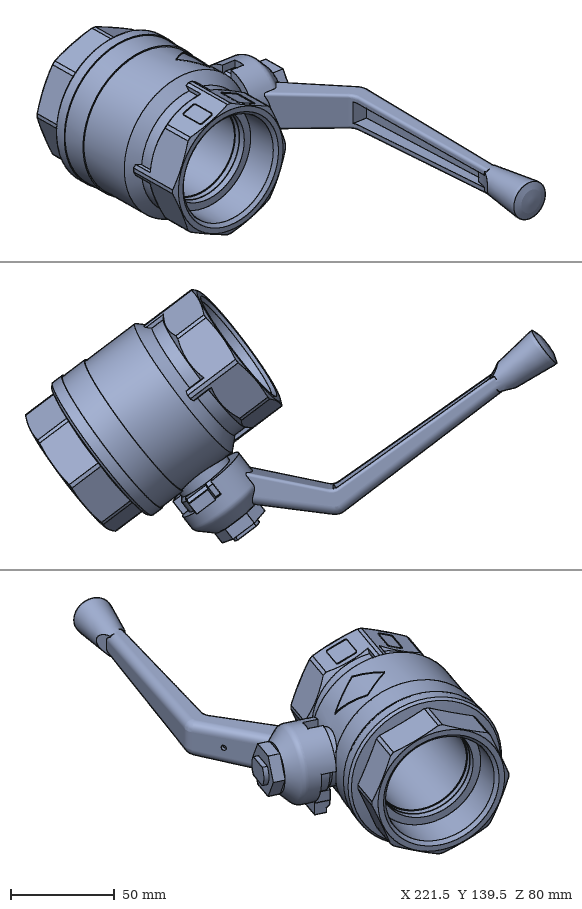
import cadquery as cq
import math


clearance = 2.2
eighth_turn = 45.0

length = 103.0
collar_radius = 80.0 / 2
sleeve_radius = 39.5
shell_radius = 38.8
neck_radius = 33.0
collar_start = 18.2
collar_face_rise = 1.0
collar_rim = 20.5
sleeve_start = 26.4
shell_start = 39.6
shell_end = 69.5
groove_start = 75.5
groove_end = 82.2

octagon_radius = 36.0
truncated_radius = 35.7
end_bevel_length = 1.3
end_bevel_radius = 33.0
rib_width = 6.0
rib_start = 72.9

mouth_radius = 30.1
socket_radius = 28.4
socket_depth = 18.5
outer_seat_radius = 24.4
outer_seat_depth = 22.2
inner_seat_radius = 24.1
inner_seat_depth = 25.0
ball_bore_radius = 47.2 / 2

panel_depth = 0.5
diamond_x = 54.7
diamond_y = 19.5
diamond_width = 19.3
diamond_height = 26.0
panel_length = 13.7
panel_x = 93.0
panel_shift = 0.33
panel_corner_radius = 1.0
upper_panel_width = 11.5
lower_panel_width = 8.2

stem_x = 51.2
stem_radius = 29.0 / 2
cap_radius = 40.0 / 2
cap_bottom = 41.5
cap_top = 65.3
cap_top_radius = 12.6
cap_edge_fillet = 4.5
slot_width = 6.5
slot_top = 49.5
relief_radius = 16.2
relief_cone = 2.0
notch_edge_z = 3.0
nut_corner_radius = 26.0 / 2
nut_top = 71.5
spindle_radius = 7.5
spindle_flat = 5.0
spindle_top = 74.2
stop_inner_z = -11.0
stop_step_z = -16.8
stop_slope_z = -19.5
stop_step = 0.7
stop_end_z = -23.7
stop_bottom = 43.2
stop_reach = 12.2

lever_top = 94.1
lever_bend_x = 91.7
lever_end_x = 192.3
lever_top_fillet = 4.5
lever_bottom_fillet = 1.5
half_width_at_stem = 10.5
half_width_at_end = 6.6
elbow_x = 97.5
elbow_y = 82.6
underside_end_y = 85.5
elbow_fillet = 6.6
arm_start_height = 13.3
arm_foot_x = 67.5
arm_foot_y = 48.0
channel_end_x = 184.3
channel_floor = 90.4
channel_step = 87.3
ramp_middle_x = lever_end_x
ramp_middle_y = 84.8
ramp_end_x = 197.5
ramp_end_y = 81.7
rim_thickness = 3.3
pin_hole_y = 80.6
pin_hole_radius = 1.3
pin_hole_depth = 2.2

knob_start_x = 189.4
knob_start_radius = 6.6
knob_rim_x = 217.7
knob_rim_end_x = 219.5
knob_radius = 10.0
overall_y = 139.5
knob_y = overall_y - collar_radius - knob_radius
knob_end_x = 220.8
knob_end_radius = 6.2
tip_x = 221.5


def turned_about_x(points):
    """Solid of revolution about X from (x, radius) points that start and end on the axis."""
    return cq.Workplane("XY").polyline(points).close().revolve(360, (0, 0, 0), (1, 0, 0))


def block(x0, x1, y0, y1, z0, z1):
    return cq.Workplane("XY").box(x1 - x0, y1 - y0, z1 - z0, centered=False).translate((x0, y0, z0))


def stem_cylinder(radius, y0, y1):
    """Cylinder about the stem axis between two heights."""
    disc = cq.Workplane("XZ", origin=(stem_x, y0, 0)).circle(radius)
    return disc.extrude(y0 - y1)


def octagon_bar(x0, x1):
    """Octagonal bar with corners on the Y and Z axes, each corner cut flat."""

    def eight_sided(corner_radius, turn):
        angles = [math.radians(eighth_turn * i + turn) for i in range(8)]
        corners = [(corner_radius * math.cos(a), corner_radius * math.sin(a)) for a in angles]
        return cq.Workplane("YZ", origin=(x0, 0, 0)).polyline(corners).close().extrude(x1 - x0)

    corner_cutter = eight_sided(truncated_radius / math.cos(math.pi / 8), eighth_turn / 2)
    return eight_sided(octagon_radius, 0).intersect(corner_cutter)


def body():
    shell = turned_about_x([
        (collar_start, 0),
        (collar_start, neck_radius),
        (collar_start + collar_face_rise, shell_radius),
        (collar_rim, collar_radius),
        (sleeve_start, collar_radius),
        (sleeve_start, sleeve_radius),
        (shell_start, sleeve_radius),
        (shell_start, shell_radius),
        (shell_end, shell_radius),
        (groove_start, neck_radius),
        (groove_end, neck_radius),
        (groove_end, 0),
    ])
    bevels = turned_about_x([
        (0, 0),
        (0, end_bevel_radius),
        (end_bevel_length, octagon_radius),
        (groove_end, octagon_radius),
        (groove_end, neck_radius),
        (groove_end + octagon_radius - neck_radius, octagon_radius),
        (length - end_bevel_length, octagon_radius),
        (length, end_bevel_radius),
        (length, 0),
    ])
    left_end = octagon_bar(0, collar_start + collar_face_rise).intersect(bevels)
    right_end = octagon_bar(groove_end, length).intersect(bevels)
    solid = shell.union(left_end).union(right_end)

    half = rib_width / 2
    reach = octagon_radius
    rib_end = groove_end + octagon_radius - neck_radius
    cross = block(rib_start, rib_end, -reach, reach, -half, half)
    cross = cross.union(block(rib_start, rib_end, -half, half, -reach, reach))
    return solid.union(octagon_bar(rib_start, rib_end).intersect(cross))


def bore():
    one_side = [
        (0, mouth_radius),
        (mouth_radius - socket_radius, socket_radius),
        (socket_depth, socket_radius),
        (socket_depth, outer_seat_radius),
        (outer_seat_depth, outer_seat_radius),
        (outer_seat_depth, inner_seat_radius),
        (inner_seat_depth, inner_seat_radius),
        (inner_seat_depth, ball_bore_radius),
    ]
    other_side = [(length - x, radius) for x, radius in reversed(one_side)]
    return turned_about_x([(0, 0)] + one_side + other_side + [(length, 0)])


def diamond_recess():
    outline = cq.Workplane("XY").center(diamond_x, diamond_y).polyline([
        (-diamond_width / 2, 0),
        (0, diamond_height / 2),
        (diamond_width / 2, 0),
        (0, -diamond_height / 2),
    ]).close().extrude(shell_radius)
    core = cq.Workplane("YZ").circle(shell_radius - panel_depth).extrude(length)
    return outline.cut(core)


def flat_panels():
    """Recesses on the two octagon faces beside +Z of the right-hand end."""
    apothem = octagon_radius * math.cos(math.pi / 8)
    tilt = eighth_turn / 2

    def panel(turn, width):
        """Panel of a given width, just above the middle of the face turned that far from +Z."""
        shape = cq.Workplane("XY").box(panel_length, width, 2 * panel_depth)
        shape = shape.edges("|Z").fillet(panel_corner_radius)
        return shape.translate((panel_x, panel_shift, apothem)).rotate((0, 0, 0), (1, 0, 0), turn)

    return panel(-tilt, upper_panel_width).union(panel(tilt, lower_panel_width))


def cap():
    shoulder_y = cap_top - (cap_radius - cap_top_radius)
    tangent = cap_edge_fillet * math.tan(math.pi / 8)
    slanted = tangent * math.sin(math.pi / 4)
    return (
        cq.Workplane("XY")
        .moveTo(0, cap_bottom)
        .lineTo(cap_radius, cap_bottom)
        .lineTo(cap_radius, shoulder_y - tangent)
        .tangentArcPoint((cap_radius - slanted, shoulder_y + slanted), relative=False)
        .lineTo(cap_top_radius, cap_top)
        .lineTo(0, cap_top)
        .close()
        .revolve(360, (0, 0, 0), (0, 1, 0))
        .translate((stem_x, 0, 0))
    )


def cap_notches():
    """Slot on the +Z side and quarter-turn notch on the -X, -Z side, cut to the relief radius."""
    half = slot_width / 2
    reach = cap_radius + clearance
    zone = block(stem_x - half, stem_x + half, cap_bottom, slot_top, 0, reach)
    zone = zone.union(block(stem_x - reach, stem_x + half, cap_bottom, slot_top, -reach, notch_edge_z))
    hub = (
        cq.Workplane("XY")
        .polyline([
            (0, cap_bottom),
            (stem_radius, cap_bottom),
            (relief_radius, cap_bottom + relief_cone),
            (relief_radius, slot_top),
            (0, slot_top),
        ])
        .close()
        .revolve(360, (0, 0, 0), (0, 1, 0))
        .translate((stem_x, 0, 0))
    )
    return zone.cut(hub)


def stop_tab():
    profile = [
        (slot_top, stop_inner_z),
        (cap_bottom, stop_inner_z),
        (cap_bottom, stop_slope_z),
        (stop_bottom, stop_slope_z - (stop_bottom - cap_bottom)),
        (stop_bottom, stop_end_z),
        (slot_top, stop_end_z),
    ]
    tab = cq.Workplane("YZ", origin=(stem_x - stop_reach, 0, 0)).polyline(profile).close()
    face_x = stem_x - stop_reach
    set_back = block(face_x, face_x + stop_step, cap_bottom, slot_top, stop_end_z, stop_step_z)
    return tab.extrude(stop_reach).cut(set_back)


def nut_and_spindle():
    nut = (
        cq.Workplane("XZ", origin=(stem_x, cap_top, 0))
        .polygon(6, 2 * nut_corner_radius)
        .extrude(cap_top - nut_top)
    )
    flats = block(stem_x - spindle_radius, stem_x + spindle_radius, nut_top, spindle_top,
                  -spindle_flat, spindle_flat)
    spindle = stem_cylinder(spindle_radius, nut_top, spindle_top).intersect(flats)
    return nut.union(spindle)


def lever_half_width(x):
    share = (x - stem_x) / (lever_end_x - stem_x)
    return half_width_at_stem + share * (half_width_at_end - half_width_at_stem)


def tapered_plan(x0, x1, inset):
    """Slab under the lever's tapering plan outline, narrowed on each side by the inset."""
    start = lever_half_width(x0) - inset
    end = lever_half_width(x1) - inset
    outline = cq.Workplane("XZ").polyline([(x0, -start), (x1, -end), (x1, end), (x0, start)]).close()
    return outline.extrude(-(lever_top + knob_radius))


def lever():
    arm_start_y = cap_bottom + arm_start_height
    arm_start_x = lever_bend_x - (lever_top - arm_start_y)
    side = cq.Workplane("XY").polyline([
        (arm_start_x, arm_start_y),
        (lever_bend_x, lever_top),
        (lever_end_x, lever_top),
        (lever_end_x, underside_end_y),
        (elbow_x, elbow_y),
        (arm_foot_x, arm_foot_y),
    ]).close().extrude(2 * half_width_at_stem).translate((0, 0, -half_width_at_stem))
    side = side.edges(cq.selectors.NearestToPointSelector((lever_bend_x, lever_top, 0))).fillet(elbow_fillet)
    side = side.edges(cq.selectors.NearestToPointSelector((elbow_x, elbow_y, 0))).fillet(elbow_fillet)
    bar = side.intersect(tapered_plan(arm_start_x, lever_end_x, 0))

    middle_x = (elbow_x + lever_end_x) / 2
    middle_y = (elbow_y + underside_end_y) / 2
    for y, radius in [(lever_top, lever_top_fillet), (middle_y, lever_bottom_fillet)]:
        for side_sign in (-1, 1):
            near = (middle_x, y, side_sign * lever_half_width(middle_x))
            bar = bar.edges(cq.selectors.NearestToPointSelector(near)).fillet(radius)
    return bar


def pin_hole():
    """Blind hole square to the sloping top of the arm."""
    foot = (lever_bend_x - (lever_top - pin_hole_y), pin_hole_y, 0)
    face = cq.Workplane(cq.Plane(origin=foot, xDir=(0, 0, 1), normal=(1, -1, 0)))
    return face.circle(pin_hole_radius).extrude(pin_hole_depth, both=True)


def channel():
    """Channel in the underside of the lever, running out along the ramp."""
    side = (
        cq.Workplane("XY")
        .moveTo(elbow_x, elbow_y - clearance)
        .lineTo(elbow_x, channel_floor)
        .lineTo(channel_end_x, channel_floor)
        .lineTo(channel_end_x, channel_step)
        .threePointArc((ramp_middle_x, ramp_middle_y), (ramp_end_x, ramp_end_y))
        .lineTo(ramp_end_x, elbow_y - clearance)
        .close()
        .extrude(2 * half_width_at_stem)
        .translate((0, 0, -half_width_at_stem))
    )
    return side.intersect(tapered_plan(elbow_x, ramp_end_x, rim_thickness))


def knob():
    """Tapered knob whose start is thinned above and below to the curve of the ramp."""
    shape = (
        cq.Workplane("XY")
        .moveTo(knob_start_x, 0)
        .lineTo(knob_start_x, knob_start_radius)
        .lineTo(knob_rim_x, knob_radius)
        .lineTo(knob_rim_end_x, knob_radius)
        .lineTo(knob_end_x, knob_end_radius)
        .lineTo(tip_x, 0)
        .close()
        .revolve(360, (0, 0, 0), (1, 0, 0))
        .translate((0, knob_y, 0))
    )
    below = (
        cq.Workplane("XY")
        .moveTo(channel_end_x, channel_step)
        .threePointArc((ramp_middle_x, ramp_middle_y), (ramp_end_x, ramp_end_y))
        .lineTo(channel_end_x, ramp_end_y)
        .close()
        .extrude(2 * knob_radius)
        .translate((0, 0, -knob_radius))
    )
    above = below.mirror("XZ", (0, knob_y, 0))
    return shape.cut(below).cut(above)


valve_body = body().cut(diamond_recess()).cut(flat_panels())
valve_body = valve_body.union(stem_cylinder(stem_radius, 0, cap_bottom)).cut(bore())
handle = cap().union(lever().cut(pin_hole())).cut(cap_notches())
handle = handle.union(knob()).cut(channel()).union(stop_tab()).union(nut_and_spindle())
result = valve_body.union(handle)